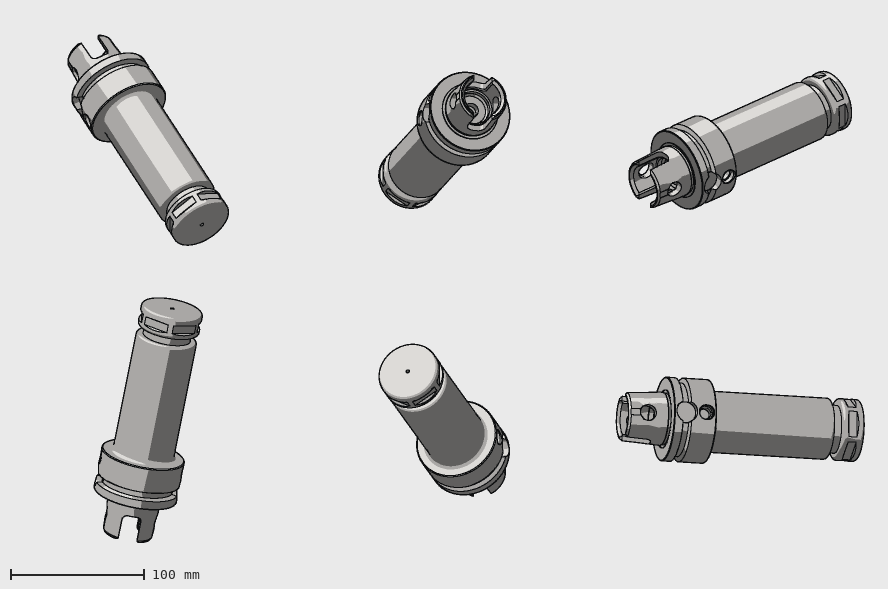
import cadquery as cq
import math

LENGTH = 182.0

TOOL_CLEARANCE = 1.8
EDGE_MARGIN = 0.2

SHANK_END_RADIUS = 17.5
SHANK_SMALL_RADIUS = 18.5
SHANK_LARGE_RADIUS = 20.0
SHANK_CHAMFER_LENGTH = 1.8
SHANK_LENGTH = 30.2
UNDERCUT_INNER_RADIUS = 19.5
UNDERCUT_OUTER_RADIUS = 21.8
UNDERCUT_DEPTH = 0.7

FLANGE_RADIUS = 31.5
FLANGE_START = 31.8
FLANGE_END = 64.6
FLANGE_FRONT_CHAMFER = 0.5
FLANGE_BACK_CHAMFER = 0.7
GROOVE_RADIUS = 27.7
GROOVE_START = 38.5
GROOVE_END = 45.3
GROOVE_FLANK = 1.3

BODY_DIAMETER = 46.0
BODY_RADIUS = BODY_DIAMETER / 2
BODY_END = 159.0
BODY_FILLET = 3.5
BODY_END_ROUND = 2.0
NECK_RADIUS = 18.0

NUT_START = 165.5
NUT_RADIUS = 23.3
NUT_ROUND = 2.2
FLAT_COUNT = 6
FLAT_DISTANCE = 21.1
FLAT_CENTER = 173.3
FLAT_WIDTH = 6.2
FLAT_MOUTH_WIDTH = 8.0

MOUTH_RADIUS = 16.5
MOUTH_STEP_RADIUS = 15.3
MOUTH_STEP_DEPTH = 1.5
MOUTH_DEPTH = 2.2
BORE_RADIUS = 14.4
BORE_DEPTH = 23.7
INNER_RADIUS = 12.7
INNER_DEPTH = 29.1
FLOOR_RADIUS = 11.1
FLOOR_CHAMFER_LENGTH = 1.6
POCKET_RADIUS = 5.5
POCKET_FLOOR_RADIUS = 4.0
POCKET_DEPTH = 36.4
POCKET_CHAMFER_LENGTH = 1.5
COOLANT_RADIUS = 1.3

SLOT_WIDTH = 14.2
SLOT_DEPTH = 20.7
SLOT_CORNER_RADIUS = 4.0
SLOT_ENTRY_CHAMFER = 1.5
SLOT_EDGE_CHAMFER = 1.0

CROSS_HOLE_X = 15.0
CROSS_HOLE_DIAMETER = 12.0
RELIEF_ANGLE = 40.0
RELIEF_LENGTH = 7.3
KEY_WIDTH = 5.0
KEY_FLOOR = 18.4
DIMPLE_X = 41.7
DIMPLE_DIAMETER = 16.0
DIMPLE_FLOOR = 26.0
SCREW_HOLE_X = 57.0
SCREW_MOUTH_DIAMETER = 12.0
SCREW_DIAMETER = 11.0
SCREW_FLOOR = 27.0
SCREW_CORE_DIAMETER = 8.5
SCREW_CORE_FLOOR = 21.8


def make_outer_body():
    """Revolve the solid outline of shank, flange, body, neck and nut about X."""
    undercut_floor = FLANGE_START + UNDERCUT_DEPTH
    undercut_slope = SHANK_LARGE_RADIUS - UNDERCUT_INNER_RADIUS
    outline = (
        cq.Workplane("XY")
        .lineTo(0, SHANK_END_RADIUS)
        .lineTo(SHANK_CHAMFER_LENGTH, SHANK_SMALL_RADIUS)
        .lineTo(SHANK_LENGTH, SHANK_LARGE_RADIUS)
        .lineTo(SHANK_LENGTH + undercut_slope, UNDERCUT_INNER_RADIUS)
        .lineTo(undercut_floor, UNDERCUT_INNER_RADIUS)
        .lineTo(undercut_floor, UNDERCUT_OUTER_RADIUS)
        .lineTo(FLANGE_START, UNDERCUT_OUTER_RADIUS)
        .lineTo(FLANGE_START, FLANGE_RADIUS - FLANGE_FRONT_CHAMFER)
        .lineTo(FLANGE_START + FLANGE_FRONT_CHAMFER, FLANGE_RADIUS)
        .lineTo(GROOVE_START, FLANGE_RADIUS)
        .lineTo(GROOVE_START + GROOVE_FLANK, GROOVE_RADIUS)
        .lineTo(GROOVE_END - GROOVE_FLANK, GROOVE_RADIUS)
        .lineTo(GROOVE_END, FLANGE_RADIUS)
        .lineTo(FLANGE_END - FLANGE_BACK_CHAMFER, FLANGE_RADIUS)
        .lineTo(FLANGE_END, FLANGE_RADIUS - FLANGE_BACK_CHAMFER)
        .lineTo(FLANGE_END, BODY_RADIUS + BODY_FILLET)
        .radiusArc((FLANGE_END + BODY_FILLET, BODY_RADIUS), -BODY_FILLET)
        .lineTo(BODY_END - BODY_END_ROUND, BODY_RADIUS)
        .radiusArc((BODY_END, BODY_RADIUS - BODY_END_ROUND), BODY_END_ROUND)
        .lineTo(BODY_END, NECK_RADIUS)
        .lineTo(NUT_START, NECK_RADIUS)
        .lineTo(NUT_START, NUT_RADIUS - NUT_ROUND)
        .radiusArc((NUT_START + NUT_ROUND, NUT_RADIUS), NUT_ROUND)
        .lineTo(LENGTH - NUT_ROUND, NUT_RADIUS)
        .radiusArc((LENGTH, NUT_RADIUS - NUT_ROUND), NUT_ROUND)
        .lineTo(LENGTH, 0)
        .close()
    )
    return outline.revolve(360, (0, 0, 0), (1, 0, 0))


def make_bore():
    """Stepped bore from the shank end, continued by the coolant hole to the nut face."""
    outline = (
        cq.Workplane("XY")
        .lineTo(0, MOUTH_RADIUS)
        .lineTo(MOUTH_STEP_DEPTH, MOUTH_STEP_RADIUS)
        .lineTo(MOUTH_DEPTH, BORE_RADIUS)
        .lineTo(BORE_DEPTH, BORE_RADIUS)
        .lineTo(BORE_DEPTH, INNER_RADIUS)
        .lineTo(INNER_DEPTH - FLOOR_CHAMFER_LENGTH, INNER_RADIUS)
        .lineTo(INNER_DEPTH, FLOOR_RADIUS)
        .lineTo(INNER_DEPTH, POCKET_RADIUS)
        .lineTo(POCKET_DEPTH - POCKET_CHAMFER_LENGTH, POCKET_RADIUS)
        .lineTo(POCKET_DEPTH, POCKET_FLOOR_RADIUS)
        .lineTo(POCKET_DEPTH, COOLANT_RADIUS)
        .lineTo(LENGTH, COOLANT_RADIUS)
        .lineTo(LENGTH, 0)
        .close()
    )
    return outline.revolve(360, (0, 0, 0), (1, 0, 0))


def make_drive_slots():
    """Round-cornered slot across the shank end, open along Z and flared at its entry."""
    half_width = SLOT_WIDTH / 2
    mouth_half_width = half_width + SLOT_ENTRY_CHAMFER
    straight_end = SLOT_DEPTH - SLOT_CORNER_RADIUS
    end_half_width = half_width - SLOT_CORNER_RADIUS
    return (
        cq.Workplane("XY")
        .moveTo(0, -mouth_half_width)
        .lineTo(SLOT_ENTRY_CHAMFER, -half_width)
        .lineTo(straight_end, -half_width)
        .radiusArc((SLOT_DEPTH, -end_half_width), -SLOT_CORNER_RADIUS)
        .lineTo(SLOT_DEPTH, end_half_width)
        .radiusArc((straight_end, half_width), -SLOT_CORNER_RADIUS)
        .lineTo(SLOT_ENTRY_CHAMFER, half_width)
        .lineTo(0, mouth_half_width)
        .close()
        .extrude(SHANK_LARGE_RADIUS + TOOL_CLEARANCE, both=True)
    )


def side_cylinder(x, diameter, floor):
    """Cylinder along Y from the floor distance out past the flange, on the -Y side."""
    return (
        cq.Workplane("XZ", origin=(x, -floor, 0))
        .circle(diameter / 2)
        .extrude(FLANGE_RADIUS + TOOL_CLEARANCE - floor)
    )


def make_hole_relief():
    """Tilted hole widening the inner end of the cross hole toward the shank end, on the -Y side."""
    angle = math.radians(RELIEF_ANGLE)
    start = cq.Vector(CROSS_HOLE_X, -BORE_RADIUS, 0)
    direction = cq.Vector(-math.sin(angle), math.cos(angle), 0)
    relief = cq.Solid.makeCylinder(CROSS_HOLE_DIAMETER / 2, RELIEF_LENGTH, start, direction)
    return cq.Workplane(relief)


def make_screw_hole():
    """Stepped blind hole with a small countersink where it meets the flange."""
    sink_depth = SCREW_MOUTH_DIAMETER - SCREW_DIAMETER
    countersink = (
        cq.Workplane("XZ", origin=(SCREW_HOLE_X, -FLANGE_RADIUS, 0))
        .circle(SCREW_MOUTH_DIAMETER / 2)
        .workplane(offset=-sink_depth)
        .circle(SCREW_DIAMETER / 2)
        .loft()
    )
    hole = side_cylinder(SCREW_HOLE_X, SCREW_DIAMETER, SCREW_FLOOR)
    core = side_cylinder(SCREW_HOLE_X, SCREW_CORE_DIAMETER, SCREW_CORE_FLOOR)
    return hole.union(core).union(countersink)


def make_key_groove():
    """Shallow groove along the shank, from its end chamfer to the cross hole."""
    depth = SHANK_LARGE_RADIUS - KEY_FLOOR
    return (
        cq.Workplane("XY", origin=(0, -SHANK_LARGE_RADIUS, 0))
        .box(CROSS_HOLE_X, depth, KEY_WIDTH, centered=(False, False, True))
    )


def make_nut_flat():
    """Wrench flat with sloping ends, on the -Y side of the nut."""
    mouth = NUT_RADIUS + (NUT_RADIUS - FLAT_DISTANCE)
    mouth_width = 2 * FLAT_MOUTH_WIDTH - FLAT_WIDTH
    return (
        cq.Workplane("XY")
        .polyline([
            (FLAT_CENTER - FLAT_WIDTH / 2, -FLAT_DISTANCE),
            (FLAT_CENTER + FLAT_WIDTH / 2, -FLAT_DISTANCE),
            (FLAT_CENTER + mouth_width / 2, -mouth),
            (FLAT_CENTER - mouth_width / 2, -mouth),
        ])
        .close()
        .extrude(NUT_RADIUS, both=True)
    )


def inner_slot_edges(side):
    """Select the edges where the slot meets the bore, on the +Z (1) or -Z (-1) side.

    The box lies beyond the mouth of the bore and holds the edge midpoints, which all
    have a Z between the bore height at the slot walls and the bore radius.
    """
    half_width = SLOT_WIDTH / 2
    lowest = math.sqrt(BORE_RADIUS**2 - half_width**2)
    return cq.selectors.BoxSelector(
        (MOUTH_DEPTH + EDGE_MARGIN, -half_width - EDGE_MARGIN, side * (lowest - EDGE_MARGIN)),
        (SLOT_DEPTH + EDGE_MARGIN, half_width + EDGE_MARGIN, side * (BORE_RADIUS + EDGE_MARGIN)),
    )


def turned(tool, angle):
    """Turn a tool about the holder axis."""
    return tool.rotate((0, 0, 0), (1, 0, 0), angle)


def make_cross_hole():
    """Hole along Y through both shank walls."""
    return (
        cq.Workplane("XZ", origin=(CROSS_HOLE_X, 0, 0))
        .circle(CROSS_HOLE_DIAMETER / 2)
        .extrude(SHANK_LARGE_RADIUS + TOOL_CLEARANCE, both=True)
    )


holder = make_outer_body().cut(make_bore()).cut(make_drive_slots())

for side in (1, -1):
    holder = holder.edges(inner_slot_edges(side)).chamfer(SLOT_EDGE_CHAMFER)

holder = holder.cut(make_cross_hole())

dimple = side_cylinder(DIMPLE_X, DIMPLE_DIAMETER, DIMPLE_FLOOR)
for tool in (make_hole_relief(), make_key_groove(), dimple, make_screw_hole()):
    holder = holder.cut(tool).cut(turned(tool, 180))

nut_flat = make_nut_flat()
for index in range(FLAT_COUNT):
    holder = holder.cut(turned(nut_flat, index * 360 / FLAT_COUNT))

result = holder